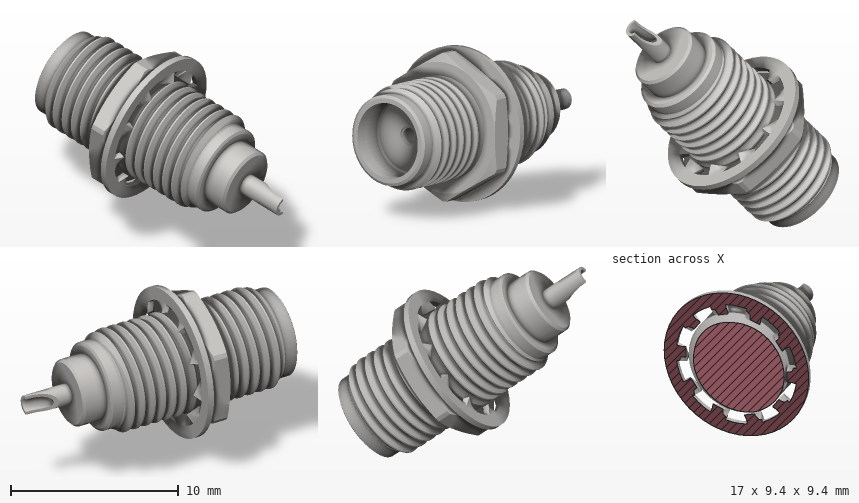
import cadquery as cq
import math


collar_dia = 5.49
collar_chamfer_length = 0.1
bevel_angle = 45
thread_start = 0.87
thread_end = 11.88
rear_collar_end = 12.68
spigot_dia = 4.16
spigot_end = 14.21
spigot_chamfer = 0.15
collar_face_dia = 5.14

thread_major_dia = 6.35
thread_root_dia = 5.54
thread_pitch = 25.4 / 36
thread_flank_angle = 30
thread_crest_width = 0.09
top_crest_x = 1.69
thread_turns = 16
groove_overshoot = 0.025
blank_seam_turn = 77

socket_bore_dia = 4.57
socket_floor_dia = 4.35
socket_depth = 2.0
socket_cone_length = 0.1
contact_recess_dia = 1.17
contact_recess_depth = 0.1
contact_hole_dia = 0.91
contact_hole_depth = 2.5

pin_dia = 1.27
pin_end = 17.02
cup_dia = 0.89
cup_notch_start = 15.12
cup_flat_start = 16.9

nut_front = 5.3
nut_thickness = 1.28
nut_across_flats = 7.94
nut_corner_dia = 9.0
nut_chamfer_angle = 20

washer_dia = 9.4
washer_thickness = 0.38
washer_ring_bore = 7.8
tooth_count = 10
tooth_width = 1.06
tooth_twist = 30
tooth_tip_radius = 3.27
tooth_root_radius = 3.85
tooth_root_length = 0.3


def cylinder(dia, start, end):
    """Solid cylinder about X between two stations."""
    return cq.Workplane("YZ", origin=(start, 0, 0)).circle(dia / 2).extrude(end - start)


def revolve_about_x(points):
    """Turn a closed (x, radius) outline about X."""
    return cq.Workplane("XY").polyline(points).close().revolve(360, (0, 0), (1, 0))


def shell_blank():
    """Turned outside of the connector, before the thread is cut."""
    collar_r = collar_dia / 2
    major_r = thread_major_dia / 2
    spigot_r = spigot_dia / 2
    bevel = (major_r - collar_r) / math.tan(math.radians(bevel_angle))
    return revolve_about_x([
        (0, 0),
        (0, collar_face_dia / 2),
        (collar_chamfer_length, collar_r),
        (thread_start, collar_r),
        (thread_start + bevel, major_r),
        (thread_end - bevel, major_r),
        (thread_end, collar_r),
        (rear_collar_end - collar_chamfer_length, collar_r),
        (rear_collar_end, collar_face_dia / 2),
        (rear_collar_end, spigot_r),
        (spigot_end - spigot_chamfer, spigot_r),
        (spigot_end, spigot_r - spigot_chamfer),
        (spigot_end, 0),
    ])


def thread_groove():
    """Right-handed V-groove that runs out through the bevel at both ends."""
    root_r = thread_root_dia / 2
    outer_r = thread_major_dia / 2 + groove_overshoot
    slope = math.tan(math.radians(thread_flank_angle))
    mouth = thread_pitch - thread_crest_width
    root_half = mouth / 2 - slope * (thread_major_dia / 2 - root_r)
    outer_half = root_half + slope * (outer_r - root_r)
    start = top_crest_x - 1.5 * thread_pitch
    length = thread_turns * thread_pitch
    helix = cq.Wire.makeHelix(thread_pitch, length, root_r)
    groove = (
        cq.Workplane("XZ")
        .polyline([
            (root_r, -root_half),
            (outer_r, -outer_half),
            (outer_r, outer_half),
            (root_r, root_half),
        ])
        .close()
        .sweep(cq.Workplane(helix), isFrenet=True)
    )
    groove = groove.rotate((0, 0, 0), (0, 1, 0), 90).rotate((0, 0, 0), (1, 0, 0), 180)
    return groove.translate((start, 0, 0))


def mating_socket():
    """Bore with a conical step at its floor, and the contact hole beyond it."""
    cone_start = socket_depth - socket_cone_length
    contact_floor = socket_depth + contact_recess_depth
    return revolve_about_x([
        (0, 0),
        (0, socket_bore_dia / 2),
        (cone_start, socket_bore_dia / 2),
        (socket_depth, socket_floor_dia / 2),
        (socket_depth, contact_recess_dia / 2),
        (contact_floor, contact_recess_dia / 2),
        (contact_floor, contact_hole_dia / 2),
        (socket_depth + contact_hole_depth, contact_hole_dia / 2),
        (socket_depth + contact_hole_depth, 0),
    ])


def solder_pin():
    """Rear pin with a cup opened on its +Y side by a curved notch."""
    pin = cylinder(pin_dia, spigot_end - spigot_chamfer, pin_end)
    cup = cylinder(cup_dia, cup_notch_start, pin_end)
    pin_r = pin_dia / 2
    run = cup_flat_start - cup_notch_start
    notch_r = (run**2 + pin_r**2) / (2 * pin_r)
    half_sweep = math.atan2(run, notch_r - pin_r) / 2
    arc_mid = (
        cup_flat_start - notch_r * math.sin(half_sweep),
        notch_r * (1 - math.cos(half_sweep)),
    )
    notch = (
        cq.Workplane("XY", origin=(0, 0, -pin_r))
        .moveTo(cup_notch_start, pin_r)
        .threePointArc(arc_mid, (cup_flat_start, 0))
        .lineTo(pin_end, 0)
        .lineTo(pin_end, pin_r)
        .close()
        .extrude(pin_dia)
    )
    return pin.cut(notch).cut(cup)


def make_connector():
    """Threaded shell with its mating socket and the solder pin, as one body."""
    blank = shell_blank().rotate((0, 0, 0), (1, 0, 0), blank_seam_turn)
    shell = blank.cut(thread_groove()).cut(mating_socket())
    return shell.union(solder_pin())


def make_nut():
    """Hexagon with corners on +Z and -Z, turned down and bevelled on both faces."""
    nut_end = nut_front + nut_thickness
    corner_r = nut_corner_dia / 2
    face_r = nut_across_flats / 2
    bevel = (corner_r - face_r) * math.tan(math.radians(nut_chamfer_angle))
    hexagon = (
        cq.Workplane("YZ", origin=(nut_front, 0, 0))
        .polygon(6, nut_across_flats, circumscribed=True)
        .extrude(nut_thickness)
    )
    envelope = revolve_about_x([
        (nut_front, 0),
        (nut_front, face_r),
        (nut_front + bevel, corner_r),
        (nut_end - bevel, corner_r),
        (nut_end, face_r),
        (nut_end, 0),
    ])
    return hexagon.intersect(envelope).cut(cylinder(thread_major_dia, nut_front, nut_end))


def washer_tooth(mid_x):
    """Tooth on -Y, flat at the ring and twisted about its own axis towards the tip."""

    def section(radius, twist):
        return (
            cq.Workplane("XZ", origin=(mid_x, -radius, 0))
            .transformed(rotate=(0, 0, twist))
            .rect(washer_thickness, tooth_width)
        )

    flat_root = section(tooth_root_radius, 0).extrude(tooth_root_length)
    root_wire = section(tooth_root_radius, 0).wires().val()
    tip_wire = section(tooth_tip_radius, -tooth_twist).wires().val()
    return flat_root.union(cq.Workplane(cq.Solid.makeLoft([root_wire, tip_wire], True)))


def make_washer():
    """Ring with twisted inner teeth, the front tooth edges resting on the nut."""
    twist = math.radians(tooth_twist)
    tooth_reach = (tooth_width * math.sin(twist) + washer_thickness * math.cos(twist)) / 2
    mid_x = nut_front + nut_thickness + tooth_reach
    ring_front = mid_x - washer_thickness / 2
    ring_back = mid_x + washer_thickness / 2
    washer = cylinder(washer_dia, ring_front, ring_back)
    washer = washer.cut(cylinder(washer_ring_bore, ring_front, ring_back))
    tooth = washer_tooth(mid_x)
    for index in range(tooth_count):
        washer = washer.union(tooth.rotate((0, 0, 0), (1, 0, 0), index * 360 / tooth_count))
    return washer


connector = make_connector()
nut = make_nut()
washer = make_washer()

result = cq.Compound.makeCompound([connector.val(), nut.val(), washer.val()])